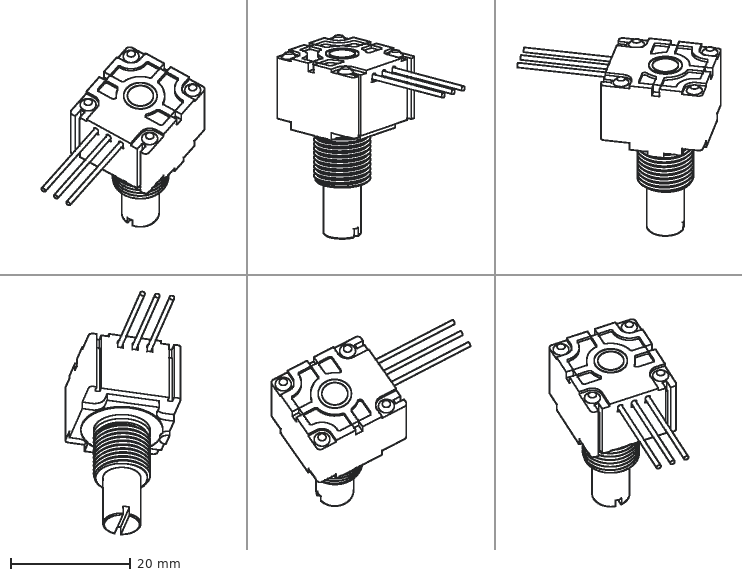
import cadquery as cq
import math

EPS = 0.05

WIDTH = 15.88
HALF = WIDTH / 2
FRONT_Y = -9.34
LEG_Y = -9.54
BASE_H = 1.31
LEDGE_Z = 12.0
TOP_Z = 12.5
CORNER_R = 0.7

RIVET_POS = 6.30
RIVET_BASE_R = 1.33
RIVET_TOP_R = 0.68
RIVET_TOP_Z = 12.7
RECESS_R = 1.8

SLIT_OUTER_X = 6.67
SLIT_INNER_X = 5.88
SLIT_Y = -8.30
SLIT_TOP_Y = -7.92
PORT_Z = 10.06

KEY_W = 1.31
KEY_LENGTH = 1.29
KEY_DEPTH = 1.43
POCKET_DEPTH = 0.5
POCKET_EDGE = HALF - KEY_LENGTH
POCKET_LOW_Y = -3.27
HUB_R = 4.08
RIVET_LAND_R = 3.05
LARGE_POCKET_R = 0.3
SMALL_POCKET_R = 0.45
RING_OUTER_R = 2.8
RING_INNER_R = 2.18
RING_DEPTH = 0.1

WIRE_PITCH = 2.54
WIRE_R = 0.42
WIRE_Z = 10.87
OVERALL_Y = 32.74
WIRE_END_Y = HALF - OVERALL_Y
PORT_W = 0.97
PORT_CORNER_R = 0.48
PORT_TOP_Z = 11.51

FLANGE_R = 6.88
FLANGE_T = 0.2
LUG_R = 1.37
LUG_DEPTH = 0.83
COLLAR_R = 4.76
COLLAR_Z = -1.0
NECK_R = 4.3
NECK_Z = -1.4
THREAD_TOP_Z = -1.8
BUSHING_Z = -9.8
BUSHING_END_R = 4.38
INCH = 25.4
THREADS_PER_INCH = 32
PITCH = INCH / THREADS_PER_INCH
CREST_W = 0.1
ROOT_W = 0.16
CREST_Z = -2.14
SHAFT_R = 3.175
SHAFT_Z = -19.25
SHAFT_CHAMFER = 0.22
SCREW_SLOT_W = 1.09
SCREW_SLOT_DEPTH = 1.6


def block(x0, x1, y0, y1, z0, z1):
    return cq.Workplane("XY").box(x1 - x0, y1 - y0, z1 - z0, centered=False).translate((x0, y0, z0))


def cylinder(x, y, radius, z0, z1):
    return cq.Workplane("XY", origin=(x, y, z0)).circle(radius).extrude(z1 - z0)


def turned(profile):
    """Solid of revolution about Z from (radius, height) points."""
    return cq.Workplane("XZ").polyline(profile).close().revolve(360, (0, 0, 0), (0, 1, 0))


def both_sides(solid):
    """The solid together with its mirror image across the YZ plane."""
    return solid.union(solid.mirror("YZ"))


def corner_recess(x_sign, y_sign, z0, z1):
    """Cutter for one housing corner, with its inner corner rounded about the rivet axis."""
    inner = RIVET_POS - RECESS_R
    outer = HALF - LEG_Y
    cutter = block(inner, outer, inner, outer, z0, z1)
    cutter = cutter.edges("|Z and <X and <Y").fillet(RECESS_R)
    if x_sign < 0:
        cutter = cutter.mirror("YZ")
    if y_sign < 0:
        cutter = cutter.mirror("XZ")
    return cutter


def housing():
    upper = block(-HALF, HALF, LEG_Y, HALF, BASE_H, TOP_Z).edges("|Z").fillet(CORNER_R)
    base = block(-HALF, HALF, -HALF, HALF, 0, BASE_H)
    body = upper.union(base)
    for x_sign in (-1, 1):
        for y_sign in (-1, 1):
            body = body.cut(corner_recess(x_sign, y_sign, -EPS, BASE_H))
            body = body.cut(corner_recess(x_sign, y_sign, LEDGE_Z, TOP_Z + EPS))

    body = body.cut(block(-SLIT_OUTER_X, SLIT_OUTER_X, LEG_Y - EPS, FRONT_Y, -EPS, TOP_Z + EPS))
    slit = block(SLIT_INNER_X, SLIT_OUTER_X, LEG_Y, SLIT_Y, BASE_H, TOP_Z)
    slit_top = block(SLIT_INNER_X, SLIT_OUTER_X, LEG_Y, SLIT_TOP_Y, PORT_Z, TOP_Z)
    return body.cut(both_sides(slit.union(slit_top)))


def rivets():
    """Four cone frustums on the corner ledges."""
    profile = [
        (0, LEDGE_Z - EPS),
        (RIVET_BASE_R, LEDGE_Z - EPS),
        (RIVET_BASE_R, LEDGE_Z),
        (RIVET_TOP_R, RIVET_TOP_Z),
        (0, RIVET_TOP_Z),
    ]
    rivet = turned(profile)
    group = cq.Workplane("XY")
    for x in (-RIVET_POS, RIVET_POS):
        for y in (-RIVET_POS, RIVET_POS):
            group = group.add(rivet.translate((x, y, 0)))
    return group.combine()


def edge_notches():
    """Cutters for the notches in the middle of the left, right and back top edges."""
    floor_z = TOP_Z - KEY_DEPTH
    side = block(POCKET_EDGE, HALF + EPS, -KEY_W / 2, KEY_W / 2, floor_z, TOP_Z + EPS)
    back = block(-KEY_W / 2, KEY_W / 2, POCKET_EDGE, HALF + EPS, floor_z, TOP_Z + EPS)
    return both_sides(side).union(back)


def top_pockets():
    """Cutters for the two large and two small shallow pockets round the central land."""
    z0 = TOP_Z - POCKET_DEPTH
    z1 = TOP_Z + EPS
    near = KEY_W / 2
    hub = cylinder(0, 0, HUB_R, z0, z1)
    large = block(near, POCKET_EDGE, near, POCKET_EDGE, z0, z1).cut(hub)
    large = large.cut(cylinder(RIVET_POS, RIVET_POS, RIVET_LAND_R, z0, z1))
    large = large.edges("|Z").fillet(LARGE_POCKET_R)
    small = block(near, POCKET_EDGE, POCKET_LOW_Y, -near, z0, z1).cut(hub)
    small = small.edges("|Z").fillet(SMALL_POCKET_R)
    return both_sides(large.union(small))


def ring_groove():
    z0 = TOP_Z - RING_DEPTH
    z1 = TOP_Z + EPS
    return cylinder(0, 0, RING_OUTER_R, z0, z1).cut(cylinder(0, 0, RING_INNER_R, z0, z1))


def wire_port(x):
    """Cutter for a round-topped port in the front face."""
    port = block(x - PORT_W / 2, x + PORT_W / 2, FRONT_Y - EPS, SLIT_TOP_Y, PORT_Z, PORT_TOP_Z)
    return port.edges("|Y and >Z").fillet(PORT_CORNER_R)


def wire(x):
    start_y = SLIT_TOP_Y + EPS
    return cq.Workplane("XZ", origin=(x, start_y, WIRE_Z)).circle(WIRE_R).extrude(start_y - WIRE_END_Y)


def bushing():
    """Flange, collar and threaded bushing."""
    core_profile = [
        (0, EPS),
        (FLANGE_R, EPS),
        (FLANGE_R, -FLANGE_T),
        (COLLAR_R, -FLANGE_T),
        (COLLAR_R, COLLAR_Z),
        (NECK_R, NECK_Z),
        (NECK_R, BUSHING_Z),
        (0, BUSHING_Z),
    ]
    core = turned(core_profile)
    return core.union(thread())


def thread():
    """Right-handed V ridge, trimmed to the threaded length and to the chamfer at its lower end."""
    root_half = (PITCH - ROOT_W) / 2
    root_r = NECK_R - EPS
    turns = math.ceil((THREAD_TOP_Z - BUSHING_Z) / PITCH) + 1
    start_z = CREST_Z + PITCH - turns * PITCH
    path = cq.Wire.makeHelix(PITCH, turns * PITCH, root_r, center=cq.Vector(0, 0, start_z))
    ridge = (
        cq.Workplane("XZ")
        .polyline([
            (root_r, start_z - root_half),
            (COLLAR_R, start_z - CREST_W / 2),
            (COLLAR_R, start_z + CREST_W / 2),
            (root_r, start_z + root_half),
        ])
        .close()
        .sweep(cq.Workplane(path), isFrenet=True)
    )
    chamfer = COLLAR_R - BUSHING_END_R
    limit_r = COLLAR_R + EPS
    limits = [
        (0, THREAD_TOP_Z),
        (limit_r, THREAD_TOP_Z),
        (limit_r, BUSHING_Z + chamfer + EPS),
        (BUSHING_END_R, BUSHING_Z),
        (0, BUSHING_Z),
    ]
    return ridge.intersect(turned(limits))


def shaft():
    rod = cylinder(0, 0, SHAFT_R, SHAFT_Z, BUSHING_Z + EPS).faces("<Z").chamfer(SHAFT_CHAMFER)
    half_slot = SCREW_SLOT_W / 2
    slot = block(-half_slot, half_slot, -HALF, HALF, SHAFT_Z - EPS, SHAFT_Z + SCREW_SLOT_DEPTH)
    return rod.cut(slot)


def locating_lug():
    """Half-round anti-rotation lug, flush with the +X face."""
    lug = cylinder(HALF, 0, LUG_R, -LUG_DEPTH, EPS)
    return lug.intersect(block(0, HALF, -HALF, HALF, -LUG_DEPTH, EPS))


result = housing().cut(edge_notches()).cut(top_pockets()).cut(ring_groove())
for wire_index in (-1, 0, 1):
    wire_x = wire_index * WIRE_PITCH
    result = result.cut(wire_port(wire_x)).union(wire(wire_x))
result = result.union(rivets()).union(locating_lug())
result = result.union(bushing()).union(shaft())